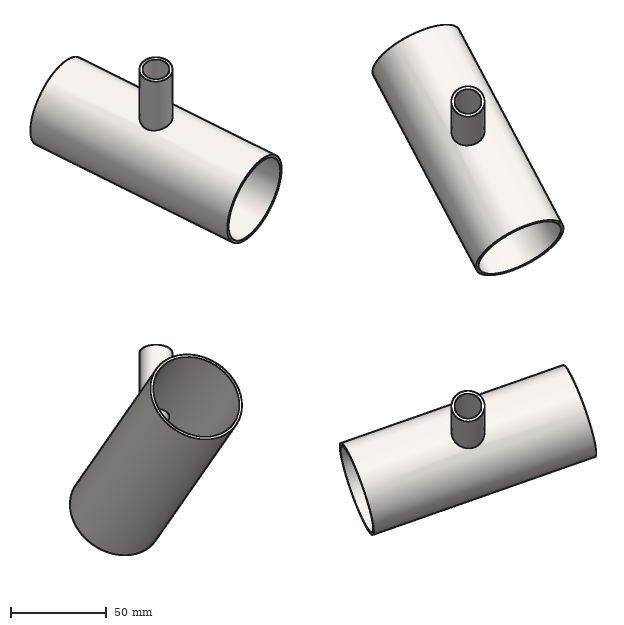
import cadquery as cq

pipe_length = 124.0
pipe_outer_diameter = 50.8
pipe_inner_diameter = 47.7

branch_outer_diameter = 17.4
branch_inner_diameter = 14.0
overall_height = 87.4
branch_top = overall_height - pipe_outer_diameter / 2


def cylinder_along_x(diameter):
    """Cylinder as long as the main pipe, centred on the origin."""
    return cq.Workplane("YZ").circle(diameter / 2).extrude(pipe_length / 2, both=True)


def cylinder_up_z(diameter):
    """Cylinder from the main pipe axis up to the branch mouth."""
    return cq.Workplane("XY").circle(diameter / 2).extrude(branch_top)


outer_body = cylinder_along_x(pipe_outer_diameter).union(cylinder_up_z(branch_outer_diameter))

result = (
    outer_body
    .cut(cylinder_along_x(pipe_inner_diameter))
    .cut(cylinder_up_z(branch_inner_diameter))
)